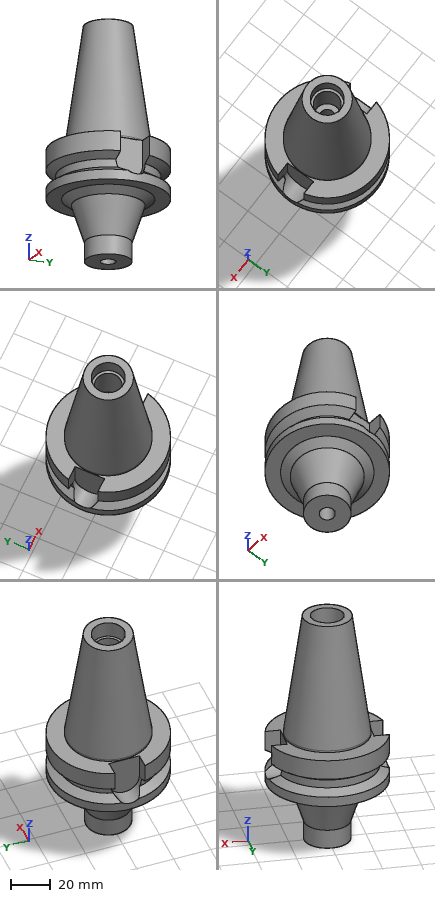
import cadquery as cq

total_height = 125.4
nose_top = 10.2
neck_top = 29.8
flange_bottom = 33.2
groove_rim_bottom = 38.5
groove_floor_bottom = 41.4
groove_floor_top = 45.8
groove_rim_top = 48.7
flange_top = 59.1
gauge_plane = 60.1

nose_radius = 12.0
neck_radius = 18.7
collar_radius = 23.6
flange_radius = 31.5
groove_radius = 26.6
gauge_radius = 22.2
taper_ratio = 7 / 24
taper_end_radius = gauge_radius - (total_height - gauge_plane) * taper_ratio / 2

mouth_radius = 8.5
mouth_depth = 9.0
thread_radius = 7.0
thread_depth = 30.1
through_radius = 4.0

slot_width = 16.3
slot_bottom = 37.2
slot_floor_offset = 22.5


def turned_body():
    """Nose, neck, grooved flange and steep taper, revolved about Z."""
    outline = [
        (0, 0),
        (nose_radius, 0),
        (nose_radius, nose_top),
        (neck_radius, neck_top),
        (collar_radius, flange_bottom),
        (flange_radius, flange_bottom),
        (flange_radius, groove_rim_bottom),
        (groove_radius, groove_floor_bottom),
        (groove_radius, groove_floor_top),
        (flange_radius, groove_rim_top),
        (flange_radius, flange_top),
        (gauge_radius, flange_top),
        (gauge_radius, gauge_plane),
        (taper_end_radius, total_height),
        (0, total_height),
    ]
    return cq.Workplane("XZ").polyline(outline).close().revolve(360, (0, 0, 0), (0, 1, 0))


def bore(radius, depth):
    """Cylinder sunk from the top face."""
    return cq.Workplane("XY").workplane(offset=total_height - depth).circle(radius).extrude(depth)


def drive_slot(side):
    """Round-bottomed slot, open at the flange top; side is +1 for +X and -1 for -X."""
    half_width = slot_width / 2
    arc_center = slot_bottom + half_width
    return (
        cq.Workplane("YZ")
        .workplane(offset=side * slot_floor_offset)
        .moveTo(-half_width, flange_top)
        .lineTo(-half_width, arc_center)
        .threePointArc((0, slot_bottom), (half_width, arc_center))
        .lineTo(half_width, flange_top)
        .close()
        .extrude(side * flange_radius)
    )


result = turned_body()
for bore_radius, bore_depth in (
    (mouth_radius, mouth_depth),
    (thread_radius, thread_depth),
    (through_radius, total_height),
):
    result = result.cut(bore(bore_radius, bore_depth))
for slot_side in (-1, 1):
    result = result.cut(drive_slot(slot_side))